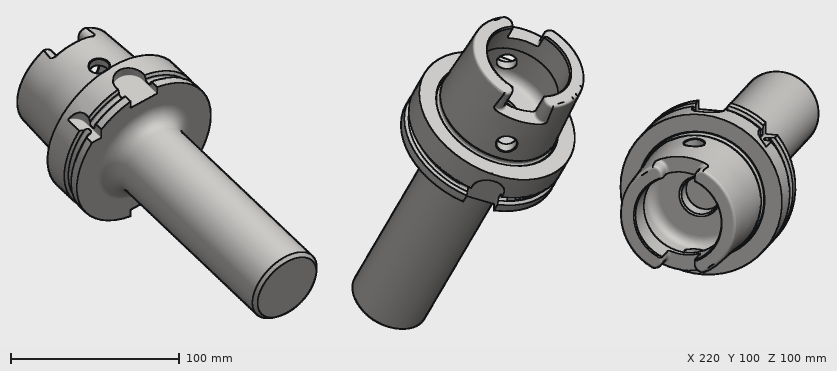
import cadquery as cq
import math

TOTAL_LENGTH = 220.0

TAPER_LENGTH = 50.0
GAUGE_RADIUS = 37.2
GAUGE_TO_FLANGE = 20.0
TAPER_SLOPE = 0.05
UNDERCUT_WIDTH = 3.0
UNDERCUT_RADIUS = 37.5
UNDERCUT_ENTRY = 0.9
RELIEF_DEPTH = 0.7
RELIEF_RADIUS = 39.4
RELIEF_FILLET = 1.3
RIM_FILLET = 1.8

MOUTH_RADIUS = 27.3
MOUTH_CHAMFER_LENGTH = 1.3
BORE_RADIUS = 26.6
FRONT_BORE_DEPTH = 19.1
REAR_BORE_RADIUS = 31.5
BORE_DEPTH = 46.2
BORE_BOTTOM_FILLET = 6.4
CENTRE_HOLE_RADIUS = 11.5
CENTRE_HOLE_CHAMFER = 1.0
CENTRE_HOLE_DEPTH = 11.0
CROSS_HOLE_DIAMETER = 12.0
CROSS_HOLE_CHAMFER = 0.5
CROSS_HOLE_X = 35.0

SLOT_HALF_WIDTH = 20.0 / 2
SLOT_SHOULDER_HEIGHT = 32.1
SLOT_SHOULDER_RADIUS = 5.0
TOP_SLOT_DEPTH = 10.1
BOTTOM_SLOT_DEPTH = 15.0
SLOT_FLOOR_FILLET = 1.8

FLANGE_RADIUS = 100.0 / 2
FLANGE_WIDTH = 29.0
GROOVE_CENTRE_X = 70.0
GROOVE_MOUTH_HALF_WIDTH = 6.8 / 2
GROOVE_HALF_WIDTH = 2.2
GROOVE_FLOOR_RADIUS = 46.0
GROOVE_FILLET = 1.3
GROOVE_FLANK_ANGLE = 30.0

KEYWAY_WIDTH = 19.8
KEYWAY_START_X = 55.0
KEYWAY_FLOOR_HEIGHT = 43.5
NOTCH_OFFSET = 31.7
NOTCH_START_X = 55.2
NOTCH_END_RADIUS = 8.4
POCKET_FILLET = 0.5

BODY_RADIUS = 48.2 / 2
NECK_FILLET = 10.0
BODY_CHAMFER = 2.2

FLANGE_END_X = TAPER_LENGTH + FLANGE_WIDTH
MARGIN = 11.0


def taper_radius(x):
    gauge_x = TAPER_LENGTH - GAUGE_TO_FLANGE
    return GAUGE_RADIUS + TAPER_SLOPE * (x - gauge_x)


def revolve_about_x(profile):
    return profile.close().revolve(360, (0, 0, 0), (1, 0, 0))


def outer_body():
    undercut_x = TAPER_LENGTH - UNDERCUT_WIDTH
    relief_x = TAPER_LENGTH + RELIEF_DEPTH
    mid_angle = math.radians(45)
    neck_centre_x = FLANGE_END_X + NECK_FILLET
    neck_centre_radius = BODY_RADIUS + NECK_FILLET
    neck_middle = (
        neck_centre_x - NECK_FILLET * math.cos(mid_angle),
        neck_centre_radius - NECK_FILLET * math.sin(mid_angle),
    )
    profile = (
        cq.Workplane("XY")
        .lineTo(0, taper_radius(0))
        .lineTo(undercut_x, taper_radius(undercut_x))
        .lineTo(undercut_x + UNDERCUT_ENTRY, UNDERCUT_RADIUS)
        .lineTo(relief_x - RELIEF_FILLET, UNDERCUT_RADIUS)
        .radiusArc((relief_x, UNDERCUT_RADIUS + RELIEF_FILLET), -RELIEF_FILLET)
        .lineTo(TAPER_LENGTH, RELIEF_RADIUS)
        .lineTo(TAPER_LENGTH, FLANGE_RADIUS)
        .lineTo(FLANGE_END_X, FLANGE_RADIUS)
        .lineTo(FLANGE_END_X, neck_centre_radius)
        .threePointArc(neck_middle, (neck_centre_x, BODY_RADIUS))
        .lineTo(TOTAL_LENGTH, BODY_RADIUS)
        .lineTo(TOTAL_LENGTH, 0)
    )
    return revolve_about_x(profile).faces(">X").edges().chamfer(BODY_CHAMFER)


def bore():
    fillet_inner_radius = REAR_BORE_RADIUS - BORE_BOTTOM_FILLET
    bottom_x = BORE_DEPTH + CENTRE_HOLE_DEPTH
    profile = (
        cq.Workplane("XY")
        .lineTo(0, MOUTH_RADIUS)
        .lineTo(MOUTH_CHAMFER_LENGTH, BORE_RADIUS)
        .lineTo(FRONT_BORE_DEPTH, BORE_RADIUS)
        .lineTo(FRONT_BORE_DEPTH, REAR_BORE_RADIUS)
        .lineTo(BORE_DEPTH - BORE_BOTTOM_FILLET, REAR_BORE_RADIUS)
        .radiusArc((BORE_DEPTH, fillet_inner_radius), BORE_BOTTOM_FILLET)
        .lineTo(BORE_DEPTH, CENTRE_HOLE_RADIUS + CENTRE_HOLE_CHAMFER)
        .lineTo(BORE_DEPTH + CENTRE_HOLE_CHAMFER, CENTRE_HOLE_RADIUS)
        .lineTo(bottom_x, CENTRE_HOLE_RADIUS)
        .lineTo(bottom_x, 0)
    )
    return revolve_about_x(profile)


def cut_cross_hole(solid):
    """Hole along Z through the taper, chamfered where it breaks out."""
    length = 2 * FLANGE_RADIUS
    hole = (
        cq.Workplane("XY", origin=(CROSS_HOLE_X, 0, -length / 2))
        .circle(CROSS_HOLE_DIAMETER / 2)
        .extrude(length)
    )
    solid = solid.cut(hole)
    for side in (1, -1):
        rim = cq.selectors.BoxSelector(
            (CROSS_HOLE_X - CROSS_HOLE_DIAMETER, -CROSS_HOLE_DIAMETER, side * BORE_RADIUS),
            (CROSS_HOLE_X + CROSS_HOLE_DIAMETER, CROSS_HOLE_DIAMETER, side * FLANGE_RADIUS),
        )
        solid = solid.edges(rim).chamfer(CROSS_HOLE_CHAMFER)
    return solid


def drive_slot(depth):
    """Slot at +Z whose walls round over into flat shoulders."""
    arc_start_z = SLOT_SHOULDER_HEIGHT - SLOT_SHOULDER_RADIUS
    shoulder_y = SLOT_HALF_WIDTH + SLOT_SHOULDER_RADIUS
    outer_y = shoulder_y + MARGIN
    top_z = taper_radius(TAPER_LENGTH) + MARGIN
    inner_z = BORE_RADIUS / 2
    return (
        cq.Workplane("YZ", origin=(-MARGIN, 0, 0))
        .moveTo(-SLOT_HALF_WIDTH, inner_z)
        .lineTo(SLOT_HALF_WIDTH, inner_z)
        .lineTo(SLOT_HALF_WIDTH, arc_start_z)
        .radiusArc((shoulder_y, SLOT_SHOULDER_HEIGHT), SLOT_SHOULDER_RADIUS)
        .lineTo(outer_y, SLOT_SHOULDER_HEIGHT)
        .lineTo(outer_y, top_z)
        .lineTo(-outer_y, top_z)
        .lineTo(-outer_y, SLOT_SHOULDER_HEIGHT)
        .lineTo(-shoulder_y, SLOT_SHOULDER_HEIGHT)
        .radiusArc((-SLOT_HALF_WIDTH, arc_start_z), SLOT_SHOULDER_RADIUS)
        .close()
        .extrude(MARGIN + depth)
        .faces(">X")
        .edges()
        .fillet(SLOT_FLOOR_FILLET)
    )


def gripper_groove():
    flank_width = GROOVE_MOUTH_HALF_WIDTH - GROOVE_HALF_WIDTH
    flank_depth = flank_width / math.tan(math.radians(GROOVE_FLANK_ANGLE))
    flank_end_radius = FLANGE_RADIUS - flank_depth
    top_radius = FLANGE_RADIUS + MARGIN
    half_profile = [
        (GROOVE_HALF_WIDTH, GROOVE_FLOOR_RADIUS),
        (GROOVE_HALF_WIDTH, flank_end_radius),
        (GROOVE_MOUTH_HALF_WIDTH, FLANGE_RADIUS),
        (GROOVE_MOUTH_HALF_WIDTH, top_radius),
    ]
    right_side = [(GROOVE_CENTRE_X + x, r) for x, r in half_profile]
    left_side = [(GROOVE_CENTRE_X - x, r) for x, r in reversed(half_profile)]
    ring = revolve_about_x(cq.Workplane("XY").polyline(right_side + left_side))
    floor_edges = cq.selectors.RadiusNthSelector(0)
    return ring.edges(floor_edges).fillet(GROOVE_FILLET)


def keyway():
    """Round-ended keyway at +Z, open at the back of the flange."""
    end_radius = KEYWAY_WIDTH / 2
    open_end_x = FLANGE_END_X + MARGIN
    start_x = KEYWAY_START_X + end_radius
    return (
        cq.Workplane("XY", origin=(0, 0, KEYWAY_FLOOR_HEIGHT))
        .moveTo(start_x, -end_radius)
        .lineTo(open_end_x, -end_radius)
        .lineTo(open_end_x, end_radius)
        .lineTo(start_x, end_radius)
        .threePointArc((KEYWAY_START_X, 0), (start_x, -end_radius))
        .close()
        .extrude(FLANGE_RADIUS)
        .faces("<Z")
        .edges()
        .fillet(POCKET_FILLET)
    )


def index_notch():
    """Corner notch at -Y +Z with a rounded front end."""
    arc_end_x = NOTCH_START_X + NOTCH_END_RADIUS
    open_end_x = FLANGE_END_X + MARGIN
    outer_y = -FLANGE_RADIUS - MARGIN
    return (
        cq.Workplane("XY", origin=(0, 0, NOTCH_OFFSET))
        .moveTo(open_end_x, -NOTCH_OFFSET)
        .lineTo(arc_end_x, -NOTCH_OFFSET)
        .radiusArc((NOTCH_START_X, -NOTCH_OFFSET - NOTCH_END_RADIUS), -NOTCH_END_RADIUS)
        .lineTo(NOTCH_START_X, outer_y)
        .lineTo(open_end_x, outer_y)
        .close()
        .extrude(FLANGE_RADIUS)
        .faces("<Z")
        .edges()
        .fillet(POCKET_FILLET)
    )


def turned_half_way(cutter):
    return cutter.rotate((0, 0, 0), (1, 0, 0), 180)


body = outer_body()
body = body.cut(drive_slot(TOP_SLOT_DEPTH))
body = body.cut(turned_half_way(drive_slot(BOTTOM_SLOT_DEPTH)))
body = body.faces("<X").edges().fillet(RIM_FILLET)
body = cut_cross_hole(body)
body = body.cut(bore())
body = body.cut(gripper_groove())
body = body.cut(keyway()).cut(turned_half_way(keyway()))
result = body.cut(index_notch())